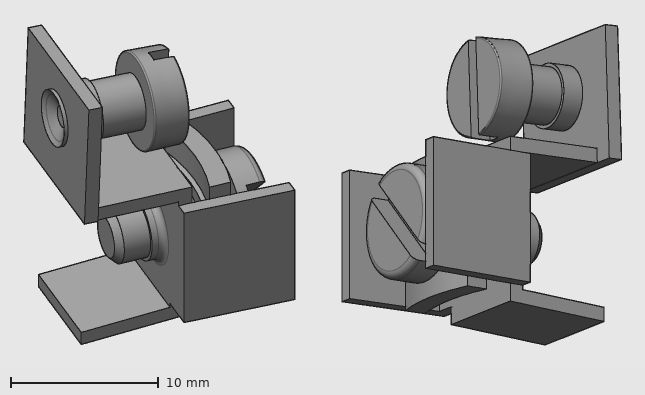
import cadquery as cq
import math


sheet = 1.0
half_base = 4.5
bend_height = 4.8
wing_reach = 7.99
wing_lean = 2.6
tab_right = 3.0
tab_end = -6.52
tab_droop = 2.9
flange_rise = 1.0

plate_width = 10.65
plate_height = 9.31
plate_toe = -6.97
plate_lean = 2.0
front_axis_x = -0.7
front_axis_height = 5.34

shank_radius = 2.0
slot_depth = 1.5

collar_radius = 2.25
rear_collar_length = 1.0
front_collar_length = 1.5
collar_fillet = 0.5

rear_tip = -3.45
tip_chamfer = 0.5
rear_head_radius = 4.0
rear_head_start = 5.05
rear_head_length = 2.35
rear_head_fillet = 0.5
rear_slot_width = 1.3
rear_slot_angle = 45.0

clamp_half_width = 3.91
clamp_half_height = 5.0
clamp_back = 4.6
clamp_thickness = 1.55
pad_half_height = 3.0
pad_rise = 0.33
pad_flank = 0.12
clamp_arch = 0.53

front_head_start = 5.75
front_head_length = 2.59
head_base_radius = 3.5
head_top_radius = 3.45
head_edge_fillet = 0.1
front_slot_width = 0.95
rim_height = 0.29

cup_radius = 1.63
cup_depth = 0.2
cone_radius = 0.75
cone_depth = 0.65
point_depth = 0.75


def box(x0, x1, y0, y1, z0, z1):
    return cq.Workplane("XY").box(x1 - x0, y1 - y0, z1 - z0, centered=False).translate((x0, y0, z0))


def bar_along_y(radius, y0, y1):
    return cq.Workplane("XZ", origin=(0, y0, 0)).circle(radius).extrude(y0 - y1)


def place_on_front_plate(shape):
    """Lean a shape back and move its local origin to the lower outer edge of the front plate."""
    toe_z = bend_height - plate_toe * math.tan(math.radians(flange_rise))
    return shape.rotate((0, 0, 0), (1, 0, 0), -plate_lean).translate((front_axis_x, plate_toe, toe_z))


def make_wing():
    """Right-hand side wing; its inner face leaves the base plate's inner corner."""
    slope = math.tan(math.radians(wing_lean))
    inner_root = half_base - sheet * slope
    inner_tip = half_base + (wing_reach - sheet) * slope
    across = sheet / math.cos(math.radians(wing_lean))
    outline = [
        (inner_root, 0),
        (inner_root + across, 0),
        (inner_tip + across, wing_reach),
        (inner_tip, wing_reach),
    ]
    return cq.Workplane("XY").polyline(outline).close().extrude(half_base, both=True)


def make_flange(x0, x1, end_y, angle, direction):
    """Flange bent forward off the base plate; direction is +1 for the top and -1 for the bottom."""
    slope = math.tan(math.radians(angle))
    outline = [
        (sheet, 0),
        (sheet, bend_height + sheet - sheet * slope),
        (end_y, bend_height + sheet - end_y * slope),
        (end_y, bend_height - end_y * slope),
        (0, bend_height),
        (0, 0),
    ]
    outline = [(y, direction * z) for y, z in outline]
    return cq.Workplane("YZ", origin=(x0, 0, 0)).polyline(outline).close().extrude(x1 - x0)


def make_rear_collar():
    """Collar with a concave fillet where it leaves the base plate."""
    root_radius = collar_radius + collar_fillet
    bow = collar_fillet * (1 - math.sqrt(0.5))
    profile = (
        cq.Workplane("XY")
        .lineTo(root_radius, 0)
        .threePointArc((collar_radius + bow, -bow), (collar_radius, -collar_fillet))
        .lineTo(collar_radius, -rear_collar_length)
        .lineTo(0, -rear_collar_length)
        .close()
    )
    return profile.revolve(360, (0, 0, 0), (0, 1, 0))


def make_front_plate():
    half_width = plate_width / 2
    plate = box(-half_width, half_width, 0, sheet, 0, plate_height)
    collar_end = sheet + front_collar_length
    collar = bar_along_y(collar_radius, 0, collar_end).translate((0, 0, front_axis_height))
    bore = bar_along_y(shank_radius, 0, collar_end).translate((0, 0, front_axis_height))
    return place_on_front_plate(plate.union(collar).cut(bore))


def make_bracket():
    base = box(-half_base, half_base, 0, sheet, -half_base, half_base)
    wing = make_wing()
    flange_end = plate_toe + sheet / 2
    top_flange = make_flange(-half_base, half_base, flange_end, flange_rise, 1)
    bottom_tab = make_flange(-half_base, tab_right, tab_end, tab_droop, -1)
    bracket = base.union(wing).union(wing.mirror("YZ")).union(top_flange).union(bottom_tab)
    bracket = bracket.union(make_rear_collar())
    bracket = bracket.cut(bar_along_y(shank_radius, -rear_collar_length, sheet))
    return bracket.union(make_front_plate())


def clamp_section(z, thickness):
    """Arched outline of the clamp plate at height z, its convex face toward +Y."""
    def arch(crown_y):
        foot_y = crown_y - clamp_arch
        return (-clamp_half_width, foot_y), (0, crown_y), (clamp_half_width, foot_y)

    back_left, back_crown, back_right = arch(clamp_back)
    front_left, front_crown, front_right = arch(clamp_back - thickness)
    return (
        cq.Workplane("XY", origin=(0, 0, z))
        .moveTo(*back_left)
        .threePointArc(back_crown, back_right)
        .lineTo(*front_right)
        .threePointArc(front_crown, front_left)
        .close()
    )


def make_clamp_plate():
    """Arched plate, curved across X, with a raised pad across the middle of its concave face."""
    plate = clamp_section(0, clamp_thickness).extrude(clamp_half_height, both=True)
    pad_thickness = clamp_thickness + pad_rise
    crest_z = pad_half_height - pad_flank
    pad = clamp_section(0, pad_thickness).extrude(crest_z, both=True)
    crest = clamp_section(crest_z, pad_thickness).wires().val()
    foot = clamp_section(pad_half_height, clamp_thickness).wires().val()
    flank = cq.Workplane(cq.Solid.makeLoft([crest, foot], True))
    return plate.union(pad).union(flank).union(flank.mirror("XY"))


def make_rear_screw():
    """Slotted screw carrying its clamp plate as one piece."""
    head_end = rear_head_start + rear_head_length
    shank = bar_along_y(shank_radius, rear_tip, rear_head_start).faces("<Y").chamfer(tip_chamfer)
    head = bar_along_y(rear_head_radius, rear_head_start, head_end)
    head = head.faces(">Y").edges().fillet(rear_head_fillet)
    half_slot = rear_slot_width / 2
    slot = box(-rear_head_radius, rear_head_radius, head_end - slot_depth, head_end, -half_slot, half_slot)
    head = head.cut(slot.rotate((0, 0, 0), (0, 1, 0), -rear_slot_angle))
    return shank.union(head).union(make_clamp_plate())


def make_front_screw():
    """Slotted screw with a slightly tapered head and a conical recess in its end."""
    head_end = front_head_start + front_head_length
    body = (
        cq.Workplane("XY")
        .moveTo(0, point_depth - rim_height)
        .lineTo(cone_radius, cone_depth - rim_height)
        .lineTo(cup_radius, cup_depth - rim_height)
        .lineTo(shank_radius, -rim_height)
        .lineTo(shank_radius, front_head_start)
        .lineTo(0, front_head_start)
        .close()
        .revolve(360, (0, 0, 0), (0, 1, 0))
    )
    head = (
        cq.Workplane("XY", origin=(0, front_head_start, 0))
        .lineTo(head_base_radius, 0)
        .lineTo(head_top_radius, front_head_length)
        .lineTo(0, front_head_length)
        .close()
        .revolve(360, (0, 0, 0), (0, 1, 0))
        .faces("<Y or >Y")
        .edges()
        .fillet(head_edge_fillet)
    )
    half_slot = front_slot_width / 2
    reach = head_base_radius
    slot = box(-half_slot, half_slot, head_end - slot_depth, head_end, -reach, reach)
    screw = body.union(head.cut(slot))
    return place_on_front_plate(screw.translate((0, 0, front_axis_height)))


bracket = make_bracket()
rear_screw = make_rear_screw()
front_screw = make_front_screw()

result = cq.Compound.makeCompound([bracket.val(), rear_screw.val(), front_screw.val()])